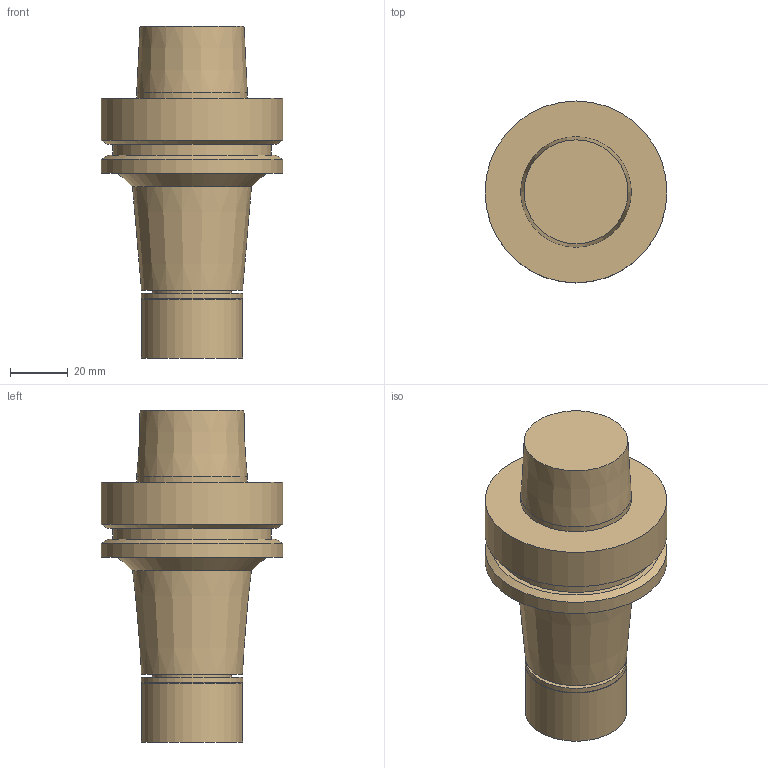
import cadquery as cq


TAPER_LENGTH = 25.0
TAPER_BASE_LENGTH = 2.0
TAPER_BASE_DIAMETER = 38.3
TAPER_TIP_DIAMETER = 36.0

FLANGE_DIAMETER = 63.0
FLANGE_HEIGHT = 26.0
GROOVE_DIAMETER = 55.0
GROOVE_WIDTH = 3.8
GROOVE_CENTRE_DEPTH = 17.9
GROOVE_BEVEL_HEIGHT = 1.4
GROOVE_BEVEL_DEPTH = 2.3

SHOULDER_DIAMETER = 51.4
SHOULDER_HEIGHT = 4.6
BODY_TOP_DIAMETER = 41.2
BODY_BOTTOM_DIAMETER = 35.0

NUT_BOTTOM = -90.0
NUT_HEIGHT = 22.5
NUT_DIAMETER = 35.0
NUT_COLLAR_DIAMETER = 35.3
NUT_COLLAR_HEIGHT = 1.8
NUT_COLLAR_BEVEL_HEIGHT = 0.3
NECK_DIAMETER = 27.4
NECK_HEIGHT = 1.0


def turned(sections):
    """Revolve a stack of (diameter, height) sections about the Z axis."""
    bottom = sections[0][1]
    top = sections[-1][1]
    rim = [(diameter / 2, height) for diameter, height in sections]
    profile = cq.Workplane("XZ").polyline([(0, bottom)] + rim + [(0, top)]).close()
    return profile.revolve(360, (0, 0, 0), (0, 1, 0))


def nut_sections():
    top = NUT_BOTTOM + NUT_HEIGHT
    collar_bottom = top - NUT_COLLAR_HEIGHT
    bevel_bottom = collar_bottom - NUT_COLLAR_BEVEL_HEIGHT
    return [
        (NUT_DIAMETER, NUT_BOTTOM),
        (NUT_DIAMETER, bevel_bottom),
        (NUT_COLLAR_DIAMETER, collar_bottom),
        (NUT_COLLAR_DIAMETER, top),
    ]


def neck_and_body_sections():
    neck_bottom = NUT_BOTTOM + NUT_HEIGHT
    neck_top = neck_bottom + NECK_HEIGHT
    shoulder_bottom = -FLANGE_HEIGHT - SHOULDER_HEIGHT
    return [
        (NECK_DIAMETER, neck_bottom),
        (NECK_DIAMETER, neck_top),
        (BODY_BOTTOM_DIAMETER, neck_top),
        (BODY_TOP_DIAMETER, shoulder_bottom),
        (SHOULDER_DIAMETER, -FLANGE_HEIGHT),
    ]


def flange_sections():
    groove_bottom = -GROOVE_CENTRE_DEPTH - GROOVE_WIDTH / 2
    groove_top = groove_bottom + GROOVE_WIDTH
    bevel_diameter = FLANGE_DIAMETER - 2 * GROOVE_BEVEL_DEPTH
    return [
        (FLANGE_DIAMETER, -FLANGE_HEIGHT),
        (FLANGE_DIAMETER, groove_bottom - GROOVE_BEVEL_HEIGHT),
        (bevel_diameter, groove_bottom),
        (GROOVE_DIAMETER, groove_bottom),
        (GROOVE_DIAMETER, groove_top),
        (bevel_diameter, groove_top),
        (FLANGE_DIAMETER, groove_top + GROOVE_BEVEL_HEIGHT),
        (FLANGE_DIAMETER, 0),
    ]


def taper_sections():
    return [
        (TAPER_BASE_DIAMETER, 0),
        (TAPER_BASE_DIAMETER, TAPER_BASE_LENGTH),
        (TAPER_TIP_DIAMETER, TAPER_LENGTH),
    ]


result = turned(nut_sections() + neck_and_body_sections() + flange_sections() + taper_sections())